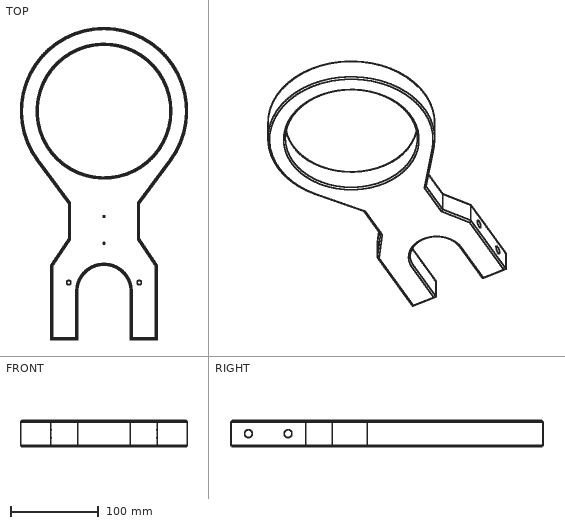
import cadquery as cq
import math

length = 355.0
thickness = 30.0
edge_chamfer = 2.0
ring_radius = 190.0 / 2
bore_diameter = 150.0
tail_y = ring_radius - length

neck_half_width = 40.0
neck_top_y = tail_y + 154.8
neck_bottom_y = tail_y + 115.0
fork_half_width = 60.5
fork_shoulder_y = tail_y + 85.0
slot_radius = 60.0 / 2
slot_centre_y = fork_shoulder_y - slot_radius

pilot_diameter = 2.0
pilot_depth = 10.0
pilot_heights = (109.7, 140.2)
arm_hole_diameter = 5.0
arm_hole_x = 40.0
arm_hole_height = 65.0
arm_hole_depth = thickness / 2
side_hole_diameter = 9.0
side_hole_heights = (20.0, 65.0)
side_hole_depth = 15.0


def ring_tangent_point():
    """Point where a line from the right neck corner touches the ring."""
    corner_distance = math.hypot(neck_half_width, neck_top_y)
    corner_angle = math.atan2(neck_top_y, neck_half_width)
    tangent_angle = corner_angle + math.acos(ring_radius / corner_distance)
    return ring_radius * math.cos(tangent_angle), ring_radius * math.sin(tangent_angle)


def plate():
    """Ring, neck and slotted fork, chamfered along the top and bottom edges."""
    tangent_x, tangent_y = ring_tangent_point()
    body = (
        cq.Workplane("XY")
        .moveTo(tangent_x, tangent_y)
        .threePointArc((0, ring_radius), (-tangent_x, tangent_y))
        .lineTo(-neck_half_width, neck_top_y)
        .lineTo(-neck_half_width, neck_bottom_y)
        .lineTo(-fork_half_width, fork_shoulder_y)
        .lineTo(-fork_half_width, tail_y)
        .lineTo(-slot_radius, tail_y)
        .lineTo(-slot_radius, slot_centre_y)
        .threePointArc((0, slot_centre_y + slot_radius), (slot_radius, slot_centre_y))
        .lineTo(slot_radius, tail_y)
        .lineTo(fork_half_width, tail_y)
        .lineTo(fork_half_width, fork_shoulder_y)
        .lineTo(neck_half_width, neck_bottom_y)
        .lineTo(neck_half_width, neck_top_y)
        .close()
        .extrude(thickness)
    )
    bore = cq.Workplane("XY").circle(bore_diameter / 2).extrude(thickness)
    return body.cut(bore).faces("|Z").edges().chamfer(edge_chamfer)


def top_holes(points, diameter, depth):
    """Blind holes going down from the top face."""
    return (
        cq.Workplane("XY", origin=(0, 0, thickness))
        .pushPoints(points)
        .circle(diameter / 2)
        .extrude(-depth)
    )


def side_holes(side):
    """Blind holes in the outer face of one fork arm; side is -1 or 1."""
    return (
        cq.Workplane("YZ", origin=(side * fork_half_width, 0, thickness / 2))
        .pushPoints([(tail_y + height, 0) for height in side_hole_heights])
        .circle(side_hole_diameter / 2)
        .extrude(-side * side_hole_depth)
    )


pilot_points = [(0, tail_y + height) for height in pilot_heights]
arm_points = [(side * arm_hole_x, tail_y + arm_hole_height) for side in (-1, 1)]

result = plate()
result = result.cut(top_holes(pilot_points, pilot_diameter, pilot_depth))
result = result.cut(top_holes(arm_points, arm_hole_diameter, arm_hole_depth))
for arm_side in (-1, 1):
    result = result.cut(side_holes(arm_side))